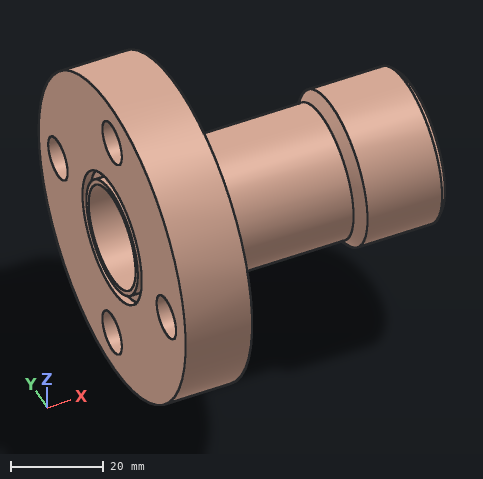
import cadquery as cq

total_length = 72.0
flange_thickness = 15.95
neck_end = 50.55

flange_diameter = 76.0
neck_diameter = 31.5
head_diameter = 36.0
bore_diameter = 24.2

groove_outer_diameter = 30.6
groove_inner_diameter = 26.5
groove_depth = 2.0

bolt_hole_count = 4
bolt_hole_diameter = 10.0
bolt_circle_diameter = 56.0

head_end_chamfer = 1.3
shoulder_chamfer = (head_diameter - neck_diameter) / 2


def disc(x_start, length, diameter):
    """Solid cylinder along +X."""
    return cq.Workplane("YZ").workplane(offset=x_start).circle(diameter / 2).extrude(length)


flange = disc(0, flange_thickness, flange_diameter)
neck = disc(flange_thickness, neck_end - flange_thickness, neck_diameter)
head = disc(neck_end, total_length - neck_end, head_diameter)
head = head.faces("<X").chamfer(shoulder_chamfer).faces(">X").chamfer(head_end_chamfer)
body = flange.union(neck).union(head)

body = body.cut(disc(0, total_length, bore_diameter))

groove = disc(0, groove_depth, groove_outer_diameter).cut(disc(0, groove_depth, groove_inner_diameter))
body = body.cut(groove)

bolt_holes = (
    cq.Workplane("YZ")
    .polarArray(bolt_circle_diameter / 2, 0, 360, bolt_hole_count)
    .circle(bolt_hole_diameter / 2)
    .extrude(flange_thickness)
)
result = body.cut(bolt_holes)